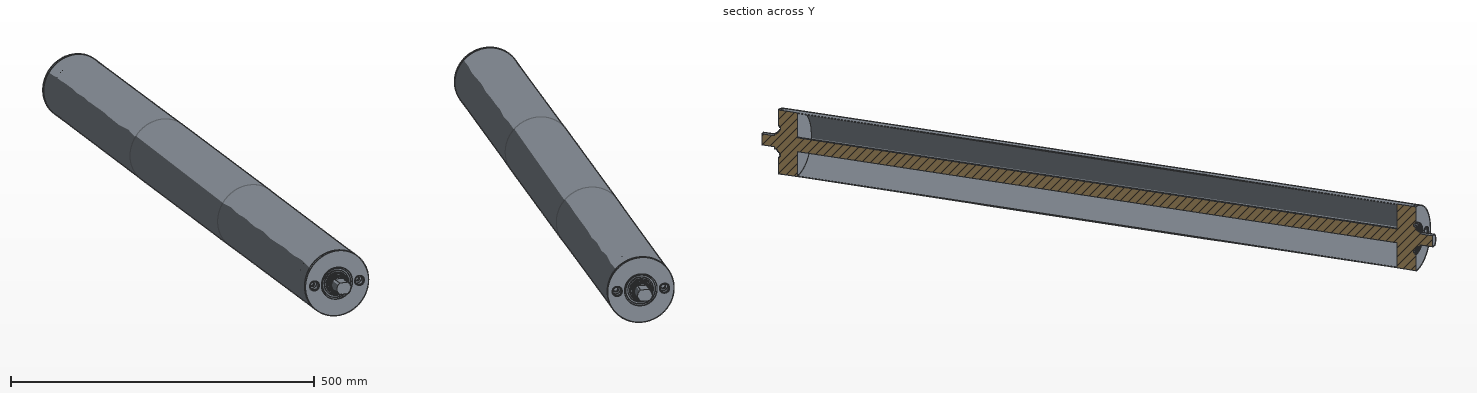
import cadquery as cq

shaft_length = 1220.0
shaft_diameter = 25.0
flat_length = 23.0
flat_width = 20.0

shell_length = 1160.0
crown_length = shell_length / 3
crown_diameter = 113.5
end_diameter = 112.5

rim_diameter = 112.3
rim_length = 5.0

bore_diameter = 108.0
cap_depth = 35.0

recess_diameter = 55.0
recess_depth = 2.0
groove_outer_diameter = 50.0
groove_inner_diameter = 43.0
groove_depth = 2.0
collars = [
    (38.0, 0.0),
    (34.0, 1.5),
    (30.0, 3.5),
    (27.0, 6.5),
]

hole_spacing = 80.0
hole_steps = [
    (17.0, 2.0),
    (14.0, 10.0),
    (8.0, 15.0),
]

end_face_x = shell_length / 2
shaft_end_x = shaft_length / 2


def cylinder_x(diameter, x_start, x_end, y=0.0):
    """Cylinder along X between two X positions."""
    return (
        cq.Workplane("YZ", origin=(x_start, y, 0))
        .circle(diameter / 2)
        .extrude(x_end - x_start)
    )


def make_shell():
    """Crowned roller shell, revolved around X."""
    crown_x = crown_length / 2
    rim_x = end_face_x - rim_length
    half_profile = [
        (crown_x, crown_diameter / 2),
        (rim_x, end_diameter / 2),
        (rim_x, rim_diameter / 2),
        (end_face_x, rim_diameter / 2),
    ]
    mirrored_profile = [(-x, radius) for x, radius in reversed(half_profile)]
    return (
        cq.Workplane("XY")
        .moveTo(-end_face_x, 0)
        .polyline(mirrored_profile + half_profile, includeCurrent=True)
        .lineTo(end_face_x, 0)
        .close()
        .revolve(360, (0, 0, 0), (1, 0, 0))
    )


def make_cavity():
    """Ring-shaped space inside the shell, around the shaft and between the end caps."""
    cap_x = end_face_x - cap_depth
    return cylinder_x(bore_diameter, -cap_x, cap_x).cut(cylinder_x(shaft_diameter, -cap_x, cap_x))


def make_end_cut():
    """Seal recess, its ring groove and the stepped holes of the +X end face."""
    recess_floor_x = end_face_x - recess_depth
    groove_floor_x = recess_floor_x - groove_depth
    groove = cylinder_x(groove_outer_diameter, groove_floor_x, recess_floor_x).cut(
        cylinder_x(groove_inner_diameter, groove_floor_x, recess_floor_x)
    )
    cut = cylinder_x(recess_diameter, recess_floor_x, end_face_x).union(groove)
    for y in (-hole_spacing / 2, hole_spacing / 2):
        for diameter, depth in hole_steps:
            cut = cut.union(cylinder_x(diameter, end_face_x - depth, end_face_x, y))
    return cut


def make_end_journal():
    """Stepped seal collars and flatted shaft stub of the +X end."""
    root_x = end_face_x - recess_depth
    flat_start_x = shaft_end_x - flat_length
    stub = cylinder_x(shaft_diameter, root_x, shaft_end_x)
    flats = (
        cq.Workplane("XY")
        .box(flat_length, shaft_diameter, shaft_diameter)
        .cut(cq.Workplane("XY").box(flat_length, shaft_diameter, flat_width))
        .translate((flat_start_x + flat_length / 2, 0, 0))
    )
    journal = stub.cut(flats)
    for diameter, projection in collars:
        journal = journal.union(cylinder_x(diameter, root_x, end_face_x + projection))
    return journal


end_cut = make_end_cut()
end_journal = make_end_journal()
result = (
    make_shell()
    .cut(make_cavity())
    .cut(end_cut)
    .cut(end_cut.mirror("YZ"))
    .union(end_journal)
    .union(end_journal.mirror("YZ"))
)